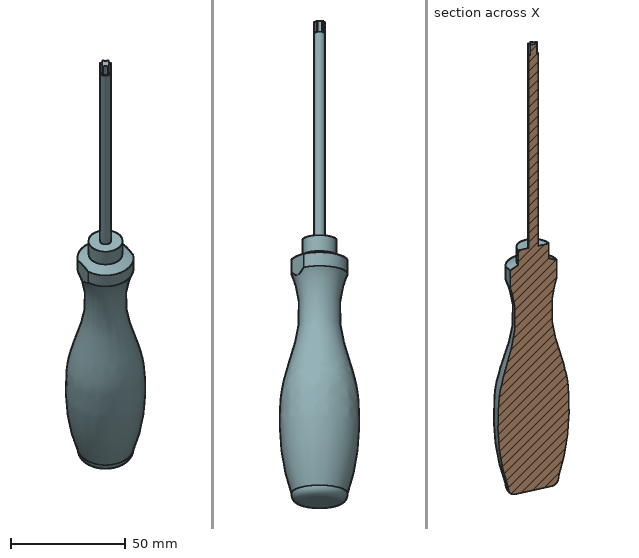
import cadquery as cq
import math

TOTAL_LENGTH = 220.0
BUTT_EDGE_Z = 4.0
BELLY_Z = 37.8
GRIP_TOP_Z = 69.3
WAIST_Z = 85.8
COLLAR_BOTTOM_Z = 104.5
COLLAR_TOP_Z = 110.7
FERRULE_BOTTOM_Z = 112.9
HANDLE_TOP_Z = 120.1

BUTT_FLAT_RADIUS = 9.2
BUTT_EDGE_RADIUS = 12.3
BELLY_RADIUS = 17.5
GRIP_TOP_RADIUS = 11.77
WAIST_RADIUS = 8.9
COLLAR_RADIUS = 12.3
FERRULE_RADIUS = 7.5

LOWER_BELLY = (16.0, 19.0)
UPPER_BELLY = (16.17, 53.7)
NECK_FLARE = (10.0, 96.8)

FLAT_DISTANCE = 11.5

BLADE_RADIUS = 2.5
TIP_LENGTH = 5.0
LOBE_COUNT = 6
VALLEY_RADIUS = 1.8
LOBE_HALF_ANGLE = 8.0


def polar(radius, degrees):
    angle = math.radians(degrees)
    return radius * math.cos(angle), radius * math.sin(angle)


def make_handle():
    """Revolve the handle profile; X is the radius and local Y is the height."""
    belly = (BELLY_RADIUS, BELLY_Z)
    grip_top = (GRIP_TOP_RADIUS, GRIP_TOP_Z)
    waist = (WAIST_RADIUS, WAIST_Z)
    collar_bottom = (COLLAR_RADIUS, COLLAR_BOTTOM_Z)
    butt_drop = BUTT_EDGE_RADIUS - BUTT_FLAT_RADIUS
    butt_mid = (
        BUTT_FLAT_RADIUS + butt_drop * math.sin(math.pi / 4),
        BUTT_EDGE_Z * (1 - math.cos(math.pi / 4)),
    )
    profile = (
        cq.Workplane("XZ")
        .lineTo(BUTT_FLAT_RADIUS, 0)
        .threePointArc(butt_mid, (BUTT_EDGE_RADIUS, BUTT_EDGE_Z))
        .spline([LOWER_BELLY, belly, UPPER_BELLY, grip_top, waist, NECK_FLARE, collar_bottom],
                includeCurrent=True)
        .lineTo(COLLAR_RADIUS, COLLAR_TOP_Z)
        .lineTo(FERRULE_RADIUS, FERRULE_BOTTOM_Z)
        .lineTo(FERRULE_RADIUS, HANDLE_TOP_Z)
        .lineTo(0, HANDLE_TOP_Z)
        .close()
    )
    return profile.revolve(360, (0, 0, 0), (0, 1, 0))


def cut_collar_flats(handle):
    """Trim the collar, the cone above it and the flare below it to two parallel flats."""
    flat_depth = COLLAR_RADIUS - FLAT_DISTANCE
    flat_height = FERRULE_BOTTOM_Z - WAIST_Z
    for side in (-1, 1):
        cutter = (
            cq.Workplane("XY")
            .box(2 * COLLAR_RADIUS, 2 * flat_depth, flat_height, centered=(True, True, False))
            .translate((0, side * (FLAT_DISTANCE + flat_depth), WAIST_Z))
        )
        handle = handle.cut(cutter)
    return handle


def make_blade():
    """Round blade running from inside the handle to the start of the tip."""
    blade_length = TOTAL_LENGTH - TIP_LENGTH - COLLAR_TOP_Z
    return cq.Workplane("XY").workplane(offset=COLLAR_TOP_Z).circle(BLADE_RADIUS).extrude(blade_length)


def make_tip():
    """Six-lobed drive with arc lobes and arc valleys, one lobe on the X axis."""
    pitch = 360.0 / LOBE_COUNT
    outline = (
        cq.Workplane("XY")
        .workplane(offset=TOTAL_LENGTH - TIP_LENGTH)
        .moveTo(*polar(BLADE_RADIUS, -LOBE_HALF_ANGLE))
    )
    for lobe in range(LOBE_COUNT):
        center = lobe * pitch
        outline = outline.threePointArc(
            polar(BLADE_RADIUS, center), polar(BLADE_RADIUS, center + LOBE_HALF_ANGLE)
        )
        outline = outline.threePointArc(
            polar(VALLEY_RADIUS, center + pitch / 2),
            polar(BLADE_RADIUS, center + pitch - LOBE_HALF_ANGLE),
        )
    return outline.close().extrude(TIP_LENGTH)


handle = cut_collar_flats(make_handle())
result = handle.union(make_blade()).union(make_tip())